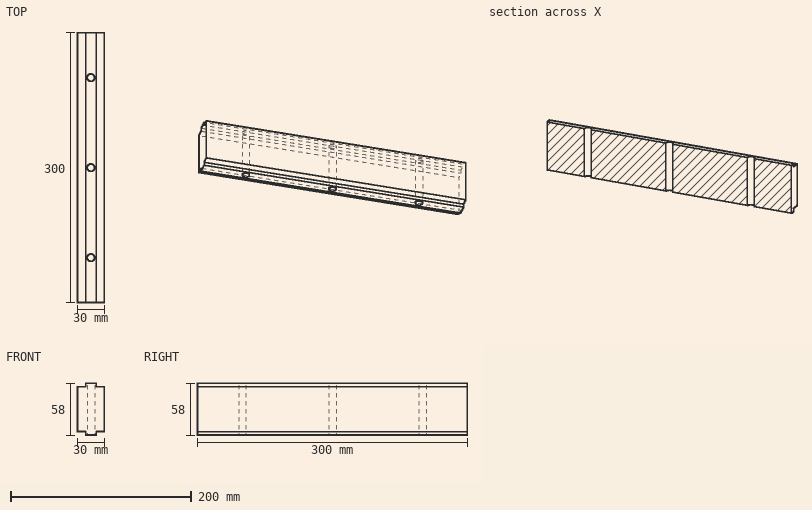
import cadquery as cq

length = 300.0
body_width = 30.0
body_height = 50.0

tongue_width = 12.0
tongue_height = 4.0

hole_diameter = 8.0
hole_pitch = 100.0
hole_count = 3

total_height = body_height + 2 * tongue_height


def make_body():
    """Rectangular bar centred on the origin, with its length along Y."""
    return cq.Workplane("XY").box(body_width, length, body_height)


def make_tongues():
    """Full-height central web whose ends form the top and bottom tongues."""
    return cq.Workplane("XY").box(tongue_width, length, total_height)


def make_holes():
    """Row of vertical cylinders, evenly spaced along Y and cutting the full height."""
    return (
        cq.Workplane("XY")
        .workplane(offset=-total_height / 2)
        .rarray(1, hole_pitch, 1, hole_count)
        .circle(hole_diameter / 2)
        .extrude(total_height)
    )


result = make_body().union(make_tongues()).cut(make_holes())